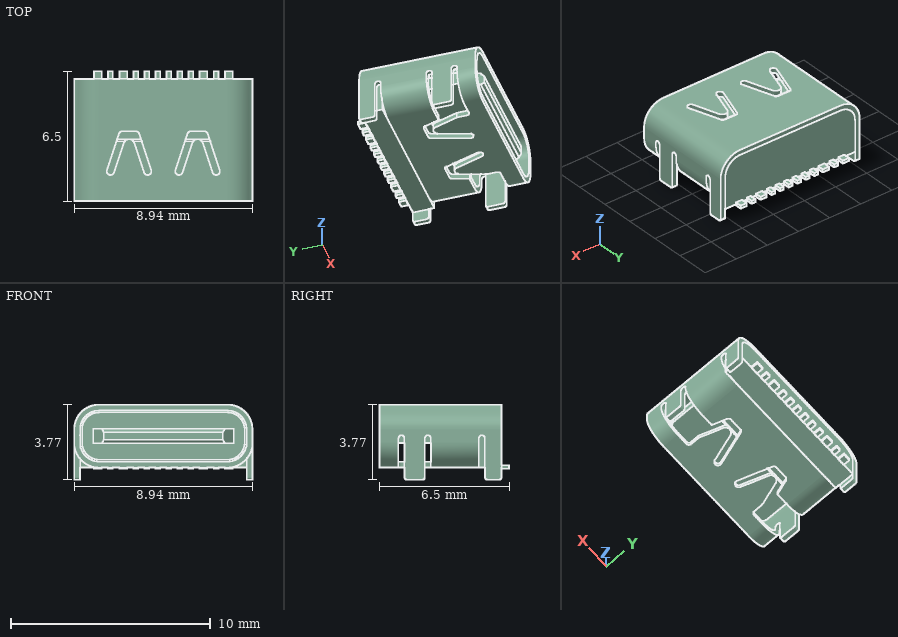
import cadquery as cq
import math

shell_width = 8.94
shell_height = 3.16
shell_length = 6.12
wall = 0.3
outer_radius = 1.25
inner_radius = outer_radius - wall
inner_width = shell_width - 2 * wall
inner_height = shell_height - 2 * wall
mid_height = shell_height / 2

leg_drop = 0.61
leg_tip_radius = 0.12
slot_width = 0.3
slot_top = 1.62
front_leg_start = 1.255
front_leg_end = 2.275
rear_leg_start = 5.28
rear_block_front = rear_leg_start - slot_width

opening_inner_x = 2.4
opening_corner_radius = 0.15

spring_spacing = 3.43
spring_half_angle = math.radians(18.25)
spring_slot_radius = 0.1875
spring_end_x = 0.93
spring_end_y = 1.49
spring_head_y = 3.49
spring_corner_radius = 0.15
spring_tip_y = 3.1

insulator_front = 3.0
insulator_chamfer = 0.1
tongue_width = 7.03
tongue_tip_width = 5.97
tongue_taper_length = 0.9
tongue_thickness = 0.71
tongue_chamfer = 0.16

tail_overhang = 0.38
tail_bottom = -0.06
tail_thickness = 0.18
wide_tail = 0.4
narrow_tail = 0.25
half_row_of_tails = [
    (0.275, narrow_tail),
    (0.825, narrow_tail),
    (1.375, narrow_tail),
    (2.0, wide_tail),
    (2.65, narrow_tail),
    (3.28, wide_tail),
]


def box(x_min, x_max, y_min, y_max, z_min, z_max):
    size = (x_max - x_min, y_max - y_min, z_max - z_min)
    return cq.Workplane("XY").box(*size, centered=False).translate((x_min, y_min, z_min))


def rounded_bar(width, height, radius, y_start, y_end):
    """Bar along Y, centred on the tube axis, with rounded long edges."""
    return (
        cq.Workplane("XZ", origin=(0, y_start, mid_height))
        .rect(width, height)
        .extrude(y_start - y_end)
        .edges("|Y")
        .fillet(radius)
    )


def leg_pair(y_start, y_end):
    """Flat legs hanging from both straight side walls, with rounded tip corners."""
    right = box(inner_width / 2, shell_width / 2, y_start, y_end, -leg_drop, mid_height)
    right = right.edges("|X and <Z").fillet(leg_tip_radius)
    return right.union(right.mirror("YZ"))


def relief_slot(y_start):
    """Round-topped slot through both side walls, open at the bottom."""
    radius = slot_width / 2
    crown_z = slot_top - radius
    profile = (
        cq.Workplane("YZ", origin=(inner_width / 2 - inner_radius, 0, 0))
        .moveTo(y_start, 0)
        .lineTo(y_start, crown_z)
        .threePointArc((y_start + radius, slot_top), (y_start + slot_width, crown_z))
        .lineTo(y_start + slot_width, 0)
        .close()
    )
    right = profile.extrude(outer_radius)
    return right.union(right.mirror("YZ"))


def corner_openings():
    """Lower-corner openings around the front legs, rounded at the front inner corner."""
    y_start = front_leg_start - slot_width
    y_end = front_leg_end + slot_width
    right = box(opening_inner_x, shell_width / 2, y_start, y_end, 0, outer_radius)
    front_inner_corner = (opening_inner_x, y_start, outer_radius / 2)
    corner_edge = cq.selectors.NearestToPointSelector(front_inner_corner)
    right = right.edges(corner_edge).fillet(opening_corner_radius)
    return right.union(right.mirror("YZ"))


def spring_cutout(x_center, z_bottom):
    """Chevron slot through one wall around a V-shaped spring that points to the rear."""
    cos_a = math.cos(spring_half_angle)
    sin_a = math.sin(spring_half_angle)
    radius = spring_slot_radius
    outer_end = (spring_end_x + radius * cos_a, spring_end_y + radius * sin_a)
    lowest = (spring_end_x + radius * sin_a, spring_end_y - radius * cos_a)
    inner_end = (spring_end_x - radius * cos_a, spring_end_y - radius * sin_a)
    head_x = outer_end[0] - (spring_head_y - outer_end[1]) * sin_a / cos_a

    flank_distance = spring_end_x * cos_a + spring_end_y * sin_a - radius
    tip_radius = (flank_distance - spring_tip_y * sin_a) / (1 - sin_a)
    tip_start = (tip_radius * cos_a, spring_tip_y - tip_radius * (1 - sin_a))

    def mirrored(point):
        return (-point[0], point[1])

    return (
        cq.Workplane("XY", origin=(x_center, 0, z_bottom))
        .moveTo(-head_x, spring_head_y)
        .lineTo(head_x, spring_head_y)
        .lineTo(*outer_end)
        .threePointArc(lowest, inner_end)
        .lineTo(*tip_start)
        .threePointArc((0, spring_tip_y), mirrored(tip_start))
        .lineTo(*mirrored(inner_end))
        .threePointArc(mirrored(lowest), mirrored(outer_end))
        .close()
        .extrude(wall)
        .edges("|Z and >Y")
        .fillet(spring_corner_radius)
    )


def rear_block():
    """Square-cornered rear foot of the insulator, filling the space between the rear legs."""
    half_width = inner_width / 2
    return box(-half_width, half_width, rear_block_front, shell_length, 0, mid_height)


def make_shell():
    shell = rounded_bar(shell_width, shell_height, outer_radius, 0, shell_length)
    shell = shell.cut(rounded_bar(inner_width, inner_height, inner_radius, 0, shell_length))
    shell = shell.cut(rear_block()).cut(corner_openings())
    shell = shell.union(leg_pair(front_leg_start, front_leg_end))
    shell = shell.union(leg_pair(rear_leg_start, shell_length))
    for slot_start in (front_leg_start - slot_width, front_leg_end, rear_block_front):
        shell = shell.cut(relief_slot(slot_start))
    for x_center in (-spring_spacing / 2, spring_spacing / 2):
        for z_bottom in (0, shell_height - wall):
            shell = shell.cut(spring_cutout(x_center, z_bottom))
    return shell


def make_tongue():
    """Tongue with side tapers in plan and chamfered top and bottom front edges."""
    half_root = tongue_width / 2
    half_tip = tongue_tip_width / 2
    plan = (
        cq.Workplane("XY", origin=(0, 0, mid_height - tongue_thickness / 2))
        .polyline([
            (-half_tip, 0),
            (half_tip, 0),
            (half_root, tongue_taper_length),
            (half_root, insulator_front),
            (-half_root, insulator_front),
            (-half_root, tongue_taper_length),
        ])
        .close()
        .extrude(tongue_thickness)
    )
    half_thickness = tongue_thickness / 2
    half_nose = half_thickness - tongue_chamfer
    side_profile = (
        cq.Workplane("YZ", origin=(-half_root, 0, mid_height))
        .polyline([
            (0, -half_nose),
            (tongue_chamfer, -half_thickness),
            (insulator_front, -half_thickness),
            (insulator_front, half_thickness),
            (tongue_chamfer, half_thickness),
            (0, half_nose),
        ])
        .close()
        .extrude(tongue_width)
    )
    return plan.intersect(side_profile)


def solder_tail(x_center, width):
    return box(
        x_center - width / 2,
        x_center + width / 2,
        shell_length,
        shell_length + tail_overhang,
        tail_bottom,
        tail_bottom + tail_thickness,
    )


def make_insulator():
    core = rounded_bar(inner_width, inner_height, inner_radius, insulator_front, shell_length)
    core = core.faces("<Y").chamfer(insulator_chamfer)
    insulator = core.union(rear_block()).union(make_tongue())
    for x_offset, width in half_row_of_tails:
        for side in (-1, 1):
            insulator = insulator.union(solder_tail(side * x_offset, width))
    return insulator


shell = make_shell()
insulator = make_insulator()

result = cq.Compound.makeCompound([shell.val(), insulator.val()])